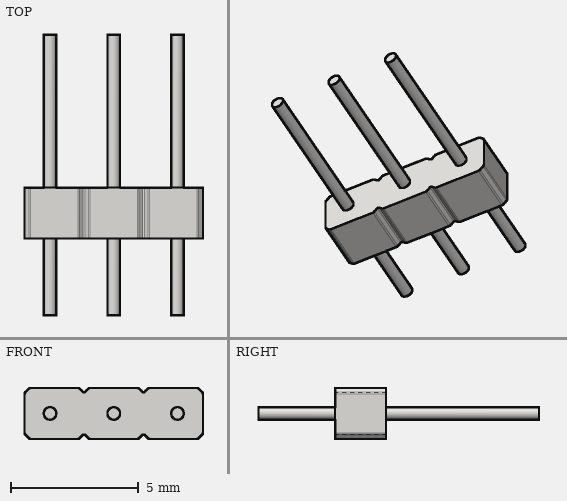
import cadquery as cq

total_length = 11.0
body_width = 7.0
body_height = 2.0
body_depth = 2.0

pin_count = 3
cell_width = body_width / pin_count
corner_chamfer = 0.2
edge_radius = 0.1
notch_root_radius = 0.05

pin_diameter = 0.5
pin_pitch = 2.5
front_pin_length = 3.0

position_tolerance = 0.001


def centred_position(index, pitch):
    """X position of one item in a row centred on the origin."""
    return (index - (pin_count - 1) / 2) * pitch


def make_cell(x):
    """One insulator block with chamfered long edges; its front face is at Y = 0."""
    return (
        cq.Workplane("XY")
        .box(cell_width, body_depth, body_height)
        .edges("|Y")
        .chamfer(corner_chamfer)
        .translate((x, body_depth / 2, 0))
    )


def is_notch_root(edge):
    """True for the edge at the bottom of a V notch, on a boundary between two cells."""
    boundaries = [centred_position(index + 0.5, cell_width) for index in range(pin_count - 1)]
    return any(abs(edge.Center().x - boundary) < position_tolerance for boundary in boundaries)


def is_outer_edge(edge):
    """True for every long edge that is not at the bottom of a notch."""
    return not is_notch_root(edge)


def make_insulator():
    """Row of cells whose neighbouring chamfers form V notches, with all long edges rounded."""
    insulator = make_cell(centred_position(0, cell_width))
    for index in range(1, pin_count):
        insulator = insulator.union(make_cell(centred_position(index, cell_width)))
    insulator = insulator.clean()
    insulator = insulator.edges("|Y").filter(is_outer_edge).fillet(edge_radius)
    return insulator.edges("|Y").filter(is_notch_root).fillet(notch_root_radius)


def make_pin(x):
    """One straight pin along Y, passing through the insulator."""
    return (
        cq.Workplane("XZ", origin=(x, -front_pin_length, 0))
        .circle(pin_diameter / 2)
        .extrude(-total_length)
    )


result = make_insulator()
for index in range(pin_count):
    result = result.union(make_pin(centred_position(index, pin_pitch)))